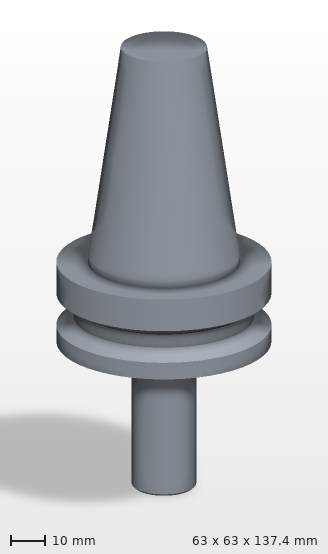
import cadquery as cq

total_height = 137.4
neck_bottom = 40.0
flange_bottom = 45.0
flange_height = 25.0
flange_top = flange_bottom + flange_height
gauge_height = 1.9
taper_bottom = flange_top + gauge_height

shank_diameter = 19.0
neck_diameter = 28.6
flange_diameter = 63.0
groove_diameter = 53.0
taper_large_diameter = 44.5
taper_small_diameter = 25.3

lower_rim_height = 5.2
groove_floor_width = 4.1
groove_side_height = 2.9
shank_chamfer = 0.7

shank_radius = shank_diameter / 2
neck_radius = neck_diameter / 2
flange_radius = flange_diameter / 2
groove_radius = groove_diameter / 2
taper_large_radius = taper_large_diameter / 2
taper_small_radius = taper_small_diameter / 2

groove_bottom = flange_bottom + lower_rim_height
groove_floor_bottom = groove_bottom + groove_side_height
groove_floor_top = groove_floor_bottom + groove_floor_width
groove_top = groove_floor_top + groove_side_height


def revolve_profile(points):
    """Turn a closed (radius, height) outline around the Z axis."""
    outline = cq.Workplane("XZ").polyline(points).close()
    return outline.revolve(360, (0, 0, 0), (0, 1, 0))


shank_and_neck = [
    (0, 0),
    (shank_radius - shank_chamfer, 0),
    (shank_radius, shank_chamfer),
    (shank_radius, neck_bottom),
    (neck_radius, flange_bottom),
]
grooved_flange = [
    (flange_radius, flange_bottom),
    (flange_radius, groove_bottom),
    (groove_radius, groove_floor_bottom),
    (groove_radius, groove_floor_top),
    (flange_radius, groove_top),
    (flange_radius, flange_top),
]
collar_and_taper = [
    (taper_large_radius, flange_top),
    (taper_large_radius, taper_bottom),
    (taper_small_radius, total_height),
    (0, total_height),
]

result = revolve_profile(shank_and_neck + grooved_flange + collar_and_taper)